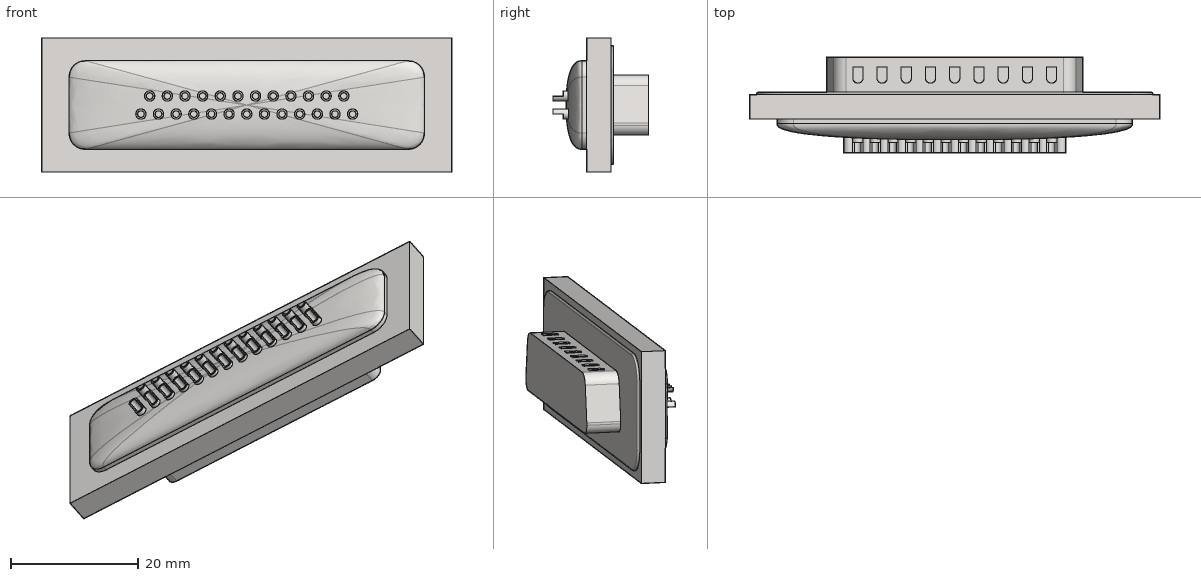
import cadquery as cq
import math


panel_width = 64.5
panel_height = 21.1
panel_thickness = 3.9

flange_width = 62.25
flange_height = 18.7
flange_corner_radius = 3.9
flange_thickness = 0.4
flange_edge_radius = 0.25
neck_width = 55.85
neck_height = 13.9
neck_corner_radius = 2.6
rim_depth = 0.7

shroud_front = 9.75
shroud_width = 40.25
shroud_height = 9.5
shroud_upper_radius = 2.05
shroud_lower_radius = 1.55
shroud_upright = 0.4
shroud_side_angle = 10.0
dimple_count = 9
dimple_pitch = 3.8
dimple_width = 1.6
dimple_length = 2.5
dimple_depth = 0.2
dimple_front_gap = 1.55
cup_pitch = 2.8
cup_row_spacing = 2.85
cup_diameter = 1.6
cup_bore = 1.0
cup_bore_depth = 2.6
cup_end = 5.3
cup_step = 3.7
lower_row_count = 13
upper_row_count = 12

dome_height = 2.5
dome_exponent = 2.4
dome_section_count = 8

flange_front = panel_thickness + flange_thickness
cup_length = cup_end - rim_depth


def xz_plane(y):
    """Workplane at the given Y, with local x = X, local y = Z and normal = -Y."""
    return cq.Workplane("XZ", origin=(0, y, 0))


def rounded_block(width, height, radius, y_front, y_rear):
    """Block with rounded X-Z corners between two Y positions."""
    block = xz_plane(y_front).rect(width, height).extrude(y_front - y_rear)
    return block.edges("|Y").fillet(radius)


def d_block(y_front, y_rear):
    """D-shaped prism, wider at the bottom: short upright sides, then leaning ones."""
    bottom = -shroud_height / 2
    top = shroud_height / 2
    lean_start = bottom + shroud_lower_radius + shroud_upright
    bottom_half = shroud_width / 2
    top_half = bottom_half - (top - lean_start) * math.tan(math.radians(shroud_side_angle))
    corners = [
        (-bottom_half, bottom),
        (bottom_half, bottom),
        (bottom_half, lean_start),
        (top_half, top),
        (-top_half, top),
        (-bottom_half, lean_start),
    ]
    prism = xz_plane(y_front).polyline(corners).close().extrude(y_front - y_rear)
    prism = prism.faces(">Z").edges("|Y").fillet(shroud_upper_radius)
    return prism.faces("<Z").edges("|Y").fillet(shroud_lower_radius)


def cup_places():
    """X, Z and outward Z direction of every solder cup."""
    places = []
    for count, outward in ((lower_row_count, -1), (upper_row_count, 1)):
        for i in range(count):
            x = (i - (count - 1) / 2) * cup_pitch
            places.append((x, outward * cup_row_spacing / 2, outward))
    return places


def cup_rods():
    """Plain full-length rods at all cup places."""
    points = [(x, z) for x, z, outward in cup_places()]
    return xz_plane(-rim_depth).pushPoints(points).circle(cup_diameter / 2).extrude(cup_length)


def cup_bores():
    """Solder bores, open at the cup ends."""
    points = [(x, z) for x, z, outward in cup_places()]
    bores = xz_plane(-cup_end + cup_bore_depth).pushPoints(points)
    return bores.circle(cup_bore / 2).extrude(cup_bore_depth)


def cup_scoops():
    """Boxes that remove the outward half of each cup end."""
    points = [(x, z + outward * cup_diameter / 2) for x, z, outward in cup_places()]
    scoops = xz_plane(-cup_step).pushPoints(points)
    return scoops.rect(cup_diameter, cup_diameter).extrude(cup_end - cup_step)


def dimples():
    """Row of shallow U-shaped recesses in the top of the shroud."""
    round_radius = dimple_width / 2
    row_front = shroud_front - dimple_front_gap
    round_y = row_front - dimple_length + round_radius
    sketch = cq.Workplane("XY", origin=(0, 0, shroud_height / 2))
    for i in range(dimple_count):
        x = (i - (dimple_count - 1) / 2) * dimple_pitch
        sketch = (
            sketch.moveTo(x - round_radius, row_front)
            .lineTo(x - round_radius, round_y)
            .threePointArc((x, round_y - round_radius), (x + round_radius, round_y))
            .lineTo(x + round_radius, row_front)
            .close()
        )
    return sketch.extrude(-dimple_depth)


def make_housing():
    flange = rounded_block(flange_width, flange_height, flange_corner_radius, flange_front, panel_thickness)
    flange = flange.faces(">Y").edges().fillet(flange_edge_radius)
    neck = rounded_block(neck_width, neck_height, neck_corner_radius, panel_thickness, -rim_depth)
    return flange.union(neck).cut(d_block(flange_front, -rim_depth))


def make_panel():
    plate = xz_plane(panel_thickness).rect(panel_width, panel_height).extrude(panel_thickness)
    cutout = rounded_block(neck_width, neck_height, neck_corner_radius, panel_thickness, 0)
    return plate.cut(cutout)


def make_connector():
    shroud = d_block(shroud_front, -rim_depth).cut(dimples())
    cups = cup_rods().cut(cup_bores()).cut(cup_scoops())
    return shroud.union(cups)


def dome_section(scale, y):
    """Neck outline scaled about its centre, as a wire at the given Y."""
    block = rounded_block(neck_width * scale, neck_height * scale, neck_corner_radius * scale, 0, y)
    return block.faces("<Y").wires().val()


def make_dome():
    """Neck outline shrinking along a superellipse arc to a point, with holes for the cups."""
    sections = []
    power = 2 / dome_exponent
    for i in range(dome_section_count):
        angle = math.pi / 2 * i / dome_section_count
        scale = math.cos(angle) ** power
        rise = dome_height * math.sin(angle) ** power
        sections.append(dome_section(scale, -rim_depth - rise))
    apex = cq.Vertex.makeVertex(0, -rim_depth - dome_height, 0)
    dome = cq.Workplane(cq.occ_impl.shapes.loft(*sections, apex, cap=True))
    return dome.cut(cup_rods())


panel = make_panel()
housing = make_housing()
connector = make_connector()
dome = make_dome()

result = cq.Compound.makeCompound(
    [
        *panel.solids().vals(),
        *housing.solids().vals(),
        *connector.solids().vals(),
        *dome.solids().vals(),
    ]
)